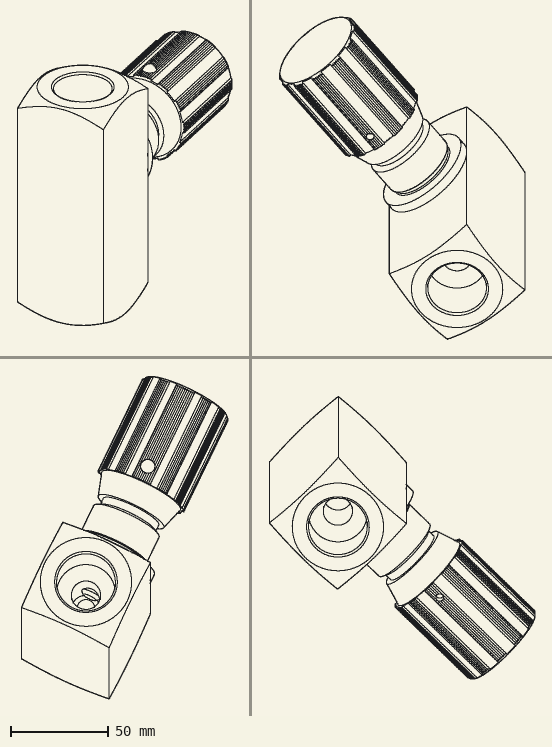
import cadquery as cq
import math

body_width = 50.0
body_height = 127.0
overall_length = 146.0
needle_axis_z = 13.5
end_land_diameter = 47.0
end_bevel_angle = 30.0

port_diameter = 30.2
port_mouth_diameter = 32.3
port_depth = 24.8
drill_half_angle = 59.0
throat_diameter = 15.0

upper_throat_floor = 2.5
lower_throat_floor = -5.8
check_cone_top_diameter = 9.0

needle_tip_y = 4.2
needle_tip_diameter = 7.5
needle_diameter = 11.2

flange_diameter = body_width
flange_thickness = 5.0
relief_diameter = 34.5
relief_foot_diameter = 35.6
relief_foot_length = 0.7
relief_length = 3.4
collar_diameter = 37.5
collar_length = 15.3
collar_edge_chamfer = 0.3
collar_front_chamfer = 1.6
neck_diameter = 31.7
neck_length = 5.7
skirt_small_diameter = 37.5
skirt_large_diameter = 45.0
skirt_length = 12.1

knob_diameter = 48.9
knob_smooth_diameter = 46.9
knob_chamfer = 1.5
tooth_depth = 0.5
tooth_angle = 2.5
band_count = 12
teeth_per_band = 6
teeth_in_index_band = 10

ball_diameter = 7.5
ball_sink = 0.9
marker_from_skirt = 8.0
screw_hole_diameter = 4.0
screw_hole_depth = 5.8

body_face = body_width / 2
flange_face = body_face + flange_thickness
collar_start = flange_face + relief_length
collar_end = collar_start + collar_length
skirt_start = collar_end + neck_length
knob_start = skirt_start + skirt_length
knob_end = overall_length - body_width / 2
marker_y = knob_start + marker_from_skirt


def revolve_about_y(points):
    """Solid of revolution about Y from (radius, y) points."""
    return cq.Workplane("XY").polyline(points).close().revolve(360, (0, 0), (0, 1))


def revolve_about_z(points):
    """Solid of revolution about Z from (radius, z) points."""
    return cq.Workplane("XZ").polyline(points).close().revolve(360, (0, 0), (0, 1))


def make_body():
    """Square bar with both ends turned to a shallow cone."""
    half_height = body_height / 2
    land_radius = end_land_diameter / 2
    outer_radius = body_width
    bevel_drop = (outer_radius - land_radius) * math.tan(math.radians(end_bevel_angle))
    envelope = revolve_about_z([
        (0, -half_height),
        (land_radius, -half_height),
        (outer_radius, -half_height + bevel_drop),
        (outer_radius, half_height - bevel_drop),
        (land_radius, half_height),
        (0, half_height),
    ])
    return cq.Workplane("XY").box(body_width, body_width, body_height).intersect(envelope)


def make_port(throat_floor):
    """Cutter for a port opening upward: chamfered bore, drill cone and throat."""
    mouth = body_height / 2
    port_radius = port_diameter / 2
    mouth_radius = port_mouth_diameter / 2
    throat_radius = throat_diameter / 2
    bore_floor = mouth - port_depth
    cone_depth = (port_radius - throat_radius) / math.tan(math.radians(drill_half_angle))
    return revolve_about_z([
        (0, throat_floor),
        (throat_radius, throat_floor),
        (throat_radius, bore_floor - cone_depth),
        (port_radius, bore_floor),
        (port_radius, mouth - (mouth_radius - port_radius)),
        (mouth_radius, mouth),
        (0, mouth),
    ])


def make_check_cone():
    """45 degree cone standing on the floor of the upper throat."""
    base_radius = throat_diameter / 2
    top_radius = check_cone_top_diameter / 2
    return revolve_about_z([
        (0, upper_throat_floor),
        (base_radius, upper_throat_floor),
        (top_radius, upper_throat_floor + base_radius - top_radius),
        (0, upper_throat_floor + base_radius - top_radius),
    ])


def make_needle():
    """Needle with a 45 degree blunt tip, rooted in the throat wall."""
    tip_radius = needle_tip_diameter / 2
    radius = needle_diameter / 2
    return revolve_about_y([
        (0, needle_tip_y),
        (tip_radius, needle_tip_y),
        (radius, needle_tip_y + radius - tip_radius),
        (radius, body_face),
        (0, body_face),
    ])


def make_stem():
    """Flange, relief groove, collar, neck and conical skirt of the knob."""
    flange_radius = flange_diameter / 2
    relief_radius = relief_diameter / 2
    collar_radius = collar_diameter / 2
    neck_radius = neck_diameter / 2
    return revolve_about_y([
        (0, body_face),
        (flange_radius, body_face),
        (flange_radius, flange_face),
        (relief_foot_diameter / 2, flange_face),
        (relief_radius, flange_face + relief_foot_length),
        (relief_radius, collar_start - collar_edge_chamfer),
        (collar_radius - collar_edge_chamfer, collar_start - collar_edge_chamfer),
        (collar_radius, collar_start),
        (collar_radius, collar_end),
        (neck_radius, collar_end + collar_front_chamfer),
        (neck_radius, skirt_start),
        (skirt_small_diameter / 2, skirt_start),
        (skirt_large_diameter / 2, knob_start),
        (0, knob_start),
    ])


def rim_point(radius, angle):
    """Point on the knob rim, with the angle in degrees from +Z toward +X."""
    turn = math.radians(angle)
    return (radius * math.sin(turn), radius * math.cos(turn))


def make_knob():
    """Knob with toothed bands between smooth arcs and a chamfered outer end."""
    crest_radius = knob_diameter / 2
    valley_radius = crest_radius - tooth_depth
    smooth_radius = knob_smooth_diameter / 2
    band_pitch = 360 / band_count
    half_bands = [teeth_in_index_band * tooth_angle / 2]
    half_bands += [teeth_per_band * tooth_angle / 2] * (band_count - 1)

    outline = cq.Workplane("XZ", origin=(0, knob_start, 0))
    outline = outline.moveTo(*rim_point(smooth_radius, -half_bands[0]))
    for band in range(band_count):
        centre = band * band_pitch
        first = centre - half_bands[band]
        last = centre + half_bands[band]
        outline = outline.lineTo(*rim_point(valley_radius, first))
        for tooth in range(round((last - first) / tooth_angle)):
            valley = first + tooth * tooth_angle
            outline = outline.threePointArc(
                rim_point(crest_radius, valley + tooth_angle / 2),
                rim_point(valley_radius, valley + tooth_angle),
            )
        next_first = centre + band_pitch - half_bands[(band + 1) % band_count]
        outline = outline.lineTo(*rim_point(smooth_radius, last))
        outline = outline.threePointArc(
            rim_point(smooth_radius, (last + next_first) / 2),
            rim_point(smooth_radius, next_first),
        )
    toothed = outline.close().extrude(knob_start - knob_end)

    envelope = revolve_about_y([
        (0, knob_start),
        (crest_radius, knob_start),
        (crest_radius, knob_end - knob_chamfer),
        (crest_radius - knob_chamfer, knob_end),
        (0, knob_end),
    ])
    return toothed.intersect(envelope)


def make_index_ball():
    """Ball sunk into the top of the knob."""
    centre_z = knob_diameter / 2 - ball_sink
    return cq.Workplane("XY").sphere(ball_diameter / 2).translate((0, marker_y, centre_z))


def make_screw_hole():
    """Cutter for the blind radial hole in the underside of the knob."""
    rim = cq.Workplane("XY", origin=(0, marker_y, -knob_diameter / 2))
    return rim.circle(screw_hole_diameter / 2).extrude(screw_hole_depth)


upper_port = make_port(upper_throat_floor)
lower_port = make_port(-lower_throat_floor).rotate((0, 0, 0), (0, 1, 0), 180)
body = make_body().cut(upper_port).cut(lower_port).union(make_check_cone())

knob = make_knob().union(make_index_ball()).cut(make_screw_hole())
adjuster = make_needle().union(make_stem()).union(knob).translate((0, 0, needle_axis_z))

result = body.union(adjuster)